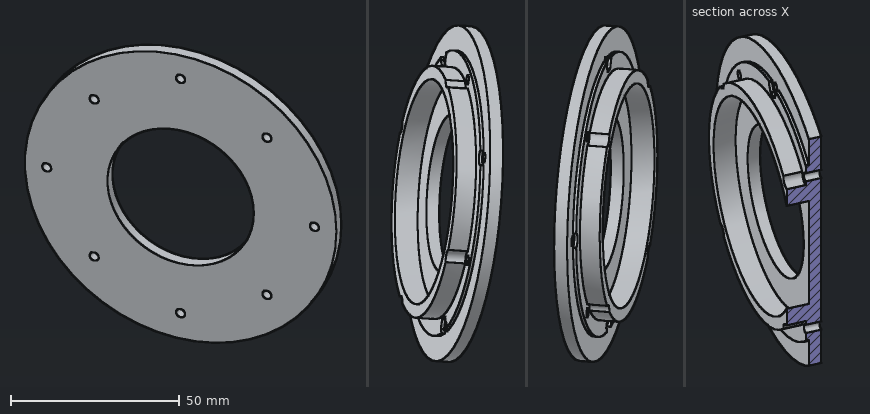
import cadquery as cq
import math

total_depth = 11.0
boss_depth = 6.0
ring_depth = 1.0
plate_depth = total_depth - boss_depth - ring_depth

plate_diameter = 100.0
ring_diameter = 85.0
boss_diameter = 75.0
bore_diameter = 46.9
recess_diameter = 67.0

hole_diameter = 2.85
diagonal_hole_radius = 39.2
side_hole_radius = 42.95
top_hole_radius = 41.7
bottom_hole_radius = 40.95

boss_relief_diameter = 5.5
ring_notch_diameter = 4.6
nut_sides = 6
nut_across_flats = 5.3
nut_across_corners = nut_across_flats / math.cos(math.pi / nut_sides)

front_y = -total_depth / 2
plate_back_y = front_y + plate_depth
ring_back_y = plate_back_y + ring_depth
boss_back_y = ring_back_y + boss_depth

side_positions = [(-side_hole_radius, 0), (side_hole_radius, 0)]
vertical_positions = [(0, top_hole_radius), (0, -bottom_hole_radius)]
diagonal_offset = diagonal_hole_radius / math.sqrt(2)
diagonal_positions = [
    (x_sign * diagonal_offset, z_sign * diagonal_offset)
    for x_sign in (-1, 1)
    for z_sign in (-1, 1)
]


def plane_at(y):
    """Sketch plane at depth y, facing -Y, with local axes along +X and +Z."""
    return cq.Workplane("XZ", origin=(0, y, 0))


def cylinders(diameter, start_y, end_y, positions=((0, 0),)):
    """Cylinders along Y, one at each (x, z) position."""
    return plane_at(start_y).pushPoints(positions).circle(diameter / 2).extrude(start_y - end_y)


def nut_pockets(start_y, end_y, positions):
    """Hexagonal prisms along Y with two corners pointing along X."""
    return plane_at(start_y).pushPoints(positions).polygon(nut_sides, nut_across_corners).extrude(start_y - end_y)


def stacked_discs():
    plate = cylinders(plate_diameter, front_y, plate_back_y)
    ring = cylinders(ring_diameter, plate_back_y, ring_back_y)
    boss = cylinders(boss_diameter, ring_back_y, boss_back_y)
    return plate.union(ring).union(boss)


def cut_center(body):
    """Central bore, widened inside the ring and boss."""
    bore = cylinders(bore_diameter, front_y, boss_back_y)
    recess = cylinders(recess_diameter, plate_back_y, boss_back_y)
    return body.cut(bore).cut(recess)


def cut_screw_holes(body):
    positions = side_positions + vertical_positions + diagonal_positions
    return body.cut(cylinders(hole_diameter, front_y, ring_back_y, positions))


def cut_clearances(body):
    """Round notches and nut pockets open the ring edge, reliefs open the boss wall."""
    notches = cylinders(ring_notch_diameter, plate_back_y, ring_back_y, side_positions)
    pockets = nut_pockets(plate_back_y, ring_back_y, vertical_positions)
    reliefs = cylinders(boss_relief_diameter, ring_back_y, boss_back_y, diagonal_positions)
    return body.cut(notches).cut(pockets).cut(reliefs)


result = cut_clearances(cut_screw_holes(cut_center(stacked_discs())))